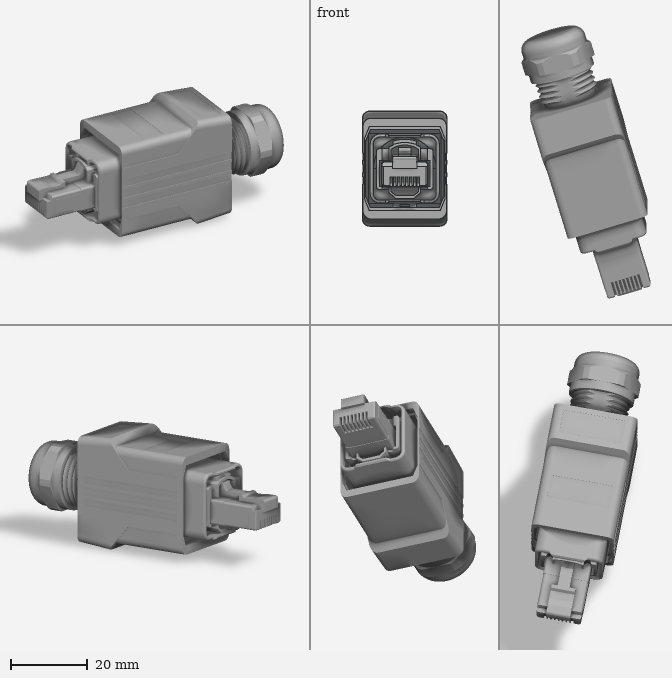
import cadquery as cq
import math


HOUSING_WIDTH = 22.0
HOUSING_LENGTH = 33.0
PLATE_STEP = 0.15
PLATE_SETBACK = 0.25
BODY_WIDTH = HOUSING_WIDTH - 2 * PLATE_STEP
BODY_HALF_HEIGHT = 13.1
CORNER_RADIUS = 2.0
PLATE_HALF_HEIGHT = 7.5
RAMP_START = 17.0
PEAK_Y = 23.4
PEAK_HALF_HEIGHT = 15.005
REAR_HALF_HEIGHT = 14.25
GROOVES = ((0.0, 2.3), (3.07, 2.0), (-3.07, 2.0))

LABEL_WIDTH = 16.5
LABEL_DEPTH = 0.1
FRONT_LABEL = (7.8, 13.9)
REAR_LABEL = (25.1, 31.5)

MOUTH_HALF_WIDTH = 10.5
MOUTH_HALF_HEIGHT = 10.95
MOUTH_CORNER_RUN = 1.3
MOUTH_CORNER_RISE = 3.1
MOUTH_STEP = 0.8
MOUTH_SIDE_STEP = 0.25
MOUTH_LEAD_DEPTH = 2.0
MOUTH_DEPTH = 8.0
WELL_HALF_WIDTH = 9.4
WELL_HALF_HEIGHT = 9.1
WELL_DEPTH = 12.0
BRIDGE_HALF_WIDTH = 3.1
BRIDGE_START = 2.5
KEYWAY_HALF_WIDTH = 1.2
KEYWAY_Z = (-9.8, -9.3)
KEYWAY_DEPTH = 2.0

SHELL_SIZE = 18.0
SHELL_RADIUS = 2.6
SHELL_WALL = 0.8
SHELL_FRONT = -5.7
SHELL_FLOOR = -1.0
SHELL_EDGE = 0.6
TONGUE_FRONT = -6.5
TONGUE_HALF_WIDTH = 4.1
TONGUE_ROOT_HALF_WIDTH = 5.0
TONGUE_EDGE = 0.4
CABLE_BORE_RADIUS = 8.2
CABLE_BORE_DEPTH = 0.2

SLEEVE_FRONT = SHELL_FRONT
SLEEVE_HALF_WIDTH = 7.4
SLEEVE_TOP = 5.2
SLEEVE_BOTTOM = -5.4
SLEEVE_RADIUS = 0.7
SLEEVE_GROOVE_X = 5.0
SLEEVE_GROOVE_RADIUS = 0.95
SLEEVE_POCKET_HALF_WIDTH = 6.6
SLEEVE_POCKET_TOP = 2.1
SLEEVE_POCKET_BOTTOM = -4.7
SLEEVE_POCKET_DEPTH = 3.0
HUMP_HALF_WIDTH = 3.0
HUMP_FRONT_TOP = 6.8
HUMP_REAR_TOP = 7.65
HUMP_ARC_RISE = 0.5
HUMP_NECK_Z = 6.2
HUMP_SHOULDER = (4.1, 5.6)
HUMP_WEDGE = (4.1, -6.3)
HUMP_FOOT = (2.3, -7.8)
WINDOW_SPRING = (3.6, 5.0)
WINDOW_CROWN_Z = 6.15
WINDOW_WEDGE = (3.6, -6.0)
WINDOW_FOOT = (2.3, -7.0)

PLUG_HALF_WIDTH = 6.0
PLUG_TOP = 1.85
PLUG_BOTTOM = -4.8
PLUG_FRONT = -19.65
PLUG_EDGE = 0.6
PLUG_NOSE_CHAMFER = 0.35
NOSE_STEP_Y = -18.0
NOSE_STEP_RUN = 0.5
NOSE_STEP_TOP = 0.5
SHOULDER_Y = -9.5
SHOULDER_STEP = 0.12
SIDE_PANEL_Y = (-17.2, SHOULDER_Y)
SIDE_PANEL_Z = (-3.5, 0.55)
CONTACT_COUNT = 8
CONTACT_PITCH = 1.02
CONTACT_WIDTH = 0.65
CONTACT_TOP = -2.2
CONTACT_DEPTH = 4.0

LATCH_FRONT = -20.56
LATCH_ROOT_TOP = 5.5
LATCH_ROOT_BENDS = ((-6.3, LATCH_ROOT_TOP), (-6.7, 4.5), (-6.95, 4.0))
LATCH_ARM_START = -7.4
LATCH_ARM_TOP = 3.5
LATCH_ARM_HALF_WIDTH = 1.6
LATCH_GAP_FLOOR = 1.0
LATCH_PAD_HALF_WIDTH = 3.15
LATCH_PAD_BACK = -12.5
LATCH_DIP_START = -13.4
LATCH_DIP_END = -14.0
LATCH_DIP_TOP = 2.88
LATCH_RISE_START = -16.0
LATCH_RISE_END = -17.8
LATCH_LIP_TOP = 3.15
LATCH_LIP_BOTTOM = 0.05
LATCH_NOSE_RADIUS = 0.7

OVERALL_LENGTH = 71.69
GLAND_END = LATCH_FRONT + OVERALL_LENGTH
GLAND_RADIUS = 8.6
DOME_RADIUS = 2.6
COLLAR_START = 40.3
HEX_START = 42.6
HEX_END = 46.8
HEX_FLATS = 17.2
HEX_ROUND_RADIUS = 9.45
THREAD_ROOT_RADIUS = 7.0
THREAD_CREST_RADIUS = 7.75
THREAD_PITCH = 1.5
THREAD_BASE = 1.38
THREAD_OVERLAP = 0.15
THREAD_FLAT_HALF_HEIGHT = 6.85


def block(x_range, y_range, z_range):
    """Box between the given limits."""
    size = [high - low for low, high in (x_range, y_range, z_range)]
    corner = (x_range[0], y_range[0], z_range[0])
    return cq.Workplane("XY").box(*size, centered=False).translate(corner)


def centred(half):
    return (-half, half)


def along_y(points, y_front, y_back):
    """Closed XZ outline extruded from y_front back to y_back."""
    plane = cq.Workplane("XZ", origin=(0, y_front, 0))
    return plane.polyline(points).close().extrude(y_front - y_back)


def across_x(points, half_width):
    """Closed YZ outline extruded symmetrically about X = 0."""
    return cq.Workplane("YZ").polyline(points).close().extrude(half_width, both=True)


def disc(radius, y_front, y_back):
    """Cylinder about the Y axis."""
    return cq.Workplane("XZ", origin=(0, y_front, 0)).circle(radius).extrude(y_front - y_back)


def mirrored_x(points):
    """Closed outline made from its right half, listed from top to bottom."""
    return points + [(-x, z) for x, z in reversed(points)]


def octagon(half_width, half_height):
    """Octagonal outline of the housing mouth."""
    shoulder_x = half_width - MOUTH_CORNER_RUN
    shoulder_z = half_height - MOUTH_CORNER_RISE
    return mirrored_x([
        (shoulder_x, half_height),
        (half_width, shoulder_z),
        (half_width, -shoulder_z),
        (shoulder_x, -half_height),
    ])


def make_side_plates():
    """Full-width block whose sides flare out towards the gland."""
    upper = [
        (PLATE_SETBACK, PLATE_HALF_HEIGHT),
        (RAMP_START, PLATE_HALF_HEIGHT),
        (PEAK_Y, PEAK_HALF_HEIGHT),
        (HOUSING_LENGTH, REAR_HALF_HEIGHT),
    ]
    outline = upper + [(y, -z) for y, z in reversed(upper)]
    plates = across_x(outline, HOUSING_WIDTH / 2)
    y_middle = (PEAK_Y + HOUSING_LENGTH) / 2
    for side in (-1, 1):
        for level in (-1, 1):
            corner = (side * HOUSING_WIDTH / 2, y_middle, level * PEAK_HALF_HEIGHT)
            plates = plates.edges(cq.selectors.NearestToPointSelector(corner)).fillet(CORNER_RADIUS)
    for centre, width in GROOVES:
        groove_z = (centre - width / 2, centre + width / 2)
        for side in (-1, 1):
            side_x = sorted((side * BODY_WIDTH / 2, side * HOUSING_WIDTH / 2))
            plates = plates.cut(block(side_x, (0, HOUSING_LENGTH), groove_z))
    return plates


def make_rear_label():
    """Shallow recess parallel to the sloping rear top face."""
    slope = (PEAK_HALF_HEIGHT - REAR_HALF_HEIGHT) / (HOUSING_LENGTH - PEAK_Y)
    back, front = REAR_LABEL[1], REAR_LABEL[0]
    front_z = PEAK_HALF_HEIGHT - slope * (front - PEAK_Y)
    back_z = PEAK_HALF_HEIGHT - slope * (back - PEAK_Y)
    outline = [
        (front, front_z - LABEL_DEPTH),
        (back, back_z - LABEL_DEPTH),
        (back, PEAK_HALF_HEIGHT),
        (front, PEAK_HALF_HEIGHT),
    ]
    return across_x(outline, LABEL_WIDTH / 2)


def make_housing():
    body = block(centred(BODY_WIDTH / 2), (0, HOUSING_LENGTH), centred(BODY_HALF_HEIGHT))
    body = body.edges("|Y").fillet(CORNER_RADIUS)
    housing = body.union(make_side_plates())
    label_z = (BODY_HALF_HEIGHT - LABEL_DEPTH, BODY_HALF_HEIGHT)
    housing = housing.cut(block(centred(LABEL_WIDTH / 2), FRONT_LABEL, label_z))
    housing = housing.cut(make_rear_label())
    lead = octagon(MOUTH_HALF_WIDTH, MOUTH_HALF_HEIGHT)
    cavity = octagon(MOUTH_HALF_WIDTH - MOUTH_SIDE_STEP, MOUTH_HALF_HEIGHT - MOUTH_STEP)
    housing = housing.cut(along_y(lead, 0, MOUTH_LEAD_DEPTH))
    housing = housing.cut(along_y(cavity, 0, MOUTH_DEPTH))
    return housing.cut(block(centred(WELL_HALF_WIDTH), (0, WELL_DEPTH), centred(WELL_HALF_HEIGHT)))


def make_tongue():
    """Trapezoidal tongue that prolongs the top wall of the shell."""
    half = SHELL_SIZE / 2
    outline = [
        (-TONGUE_ROOT_HALF_WIDTH, SHELL_FRONT + SHELL_EDGE),
        (-TONGUE_ROOT_HALF_WIDTH, SHELL_FRONT),
        (-TONGUE_HALF_WIDTH, TONGUE_FRONT),
        (TONGUE_HALF_WIDTH, TONGUE_FRONT),
        (TONGUE_ROOT_HALF_WIDTH, SHELL_FRONT),
        (TONGUE_ROOT_HALF_WIDTH, SHELL_FRONT + SHELL_EDGE),
    ]
    plate = cq.Workplane("XY", origin=(0, 0, half - SHELL_WALL)).polyline(outline).close()
    return plate.extrude(SHELL_WALL).faces("<Y").edges(">Z").chamfer(TONGUE_EDGE)


def make_shell():
    """Square cup with a tongue on its top and bottom walls."""
    half = SHELL_SIZE / 2
    inner = half - SHELL_WALL
    shell = block(centred(half), (SHELL_FRONT, WELL_DEPTH), centred(half))
    shell = shell.edges("|Y").fillet(SHELL_RADIUS)
    shell = shell.faces("<Y").edges().fillet(SHELL_EDGE)
    cup = block(centred(inner), (SHELL_FRONT, SHELL_FLOOR), centred(inner))
    shell = shell.cut(cup.edges("|Y").fillet(SHELL_RADIUS - SHELL_WALL))
    tongue = make_tongue()
    shell = shell.union(tongue).union(tongue.mirror("XY"))
    bore = disc(CABLE_BORE_RADIUS, SHELL_FLOOR, SHELL_FLOOR + CABLE_BORE_DEPTH)
    upper_half = block(centred(half), (SHELL_FRONT, 0), (0, half))
    return shell.cut(bore.intersect(upper_half))


def make_bridge():
    """Rib under the shell with a keyway in its front."""
    bridge_z = (-MOUTH_HALF_HEIGHT, SHELL_WALL - SHELL_SIZE / 2)
    bridge = block(centred(BRIDGE_HALF_WIDTH), (BRIDGE_START, WELL_DEPTH), bridge_z)
    keyway = block(centred(KEYWAY_HALF_WIDTH), (BRIDGE_START, BRIDGE_START + KEYWAY_DEPTH), KEYWAY_Z)
    return bridge.cut(keyway)


def make_hump(y_front, top):
    """Arched middle part of the sleeve, ending in a wedge below."""
    spring = top - HUMP_ARC_RISE
    neck = (HUMP_HALF_WIDTH, HUMP_NECK_Z)
    lower = mirrored_x([neck, HUMP_SHOULDER, HUMP_WEDGE, HUMP_FOOT])
    outline = (
        cq.Workplane("XZ", origin=(0, y_front, 0))
        .moveTo(-HUMP_HALF_WIDTH, spring)
        .threePointArc((0, top), (HUMP_HALF_WIDTH, spring))
        .polyline(lower, includeCurrent=True)
    )
    return outline.close().extrude(y_front)


def make_window():
    """Opening of the sleeve around the latch and below the plug."""
    outline = (
        cq.Workplane("XZ", origin=(0, TONGUE_FRONT, 0))
        .moveTo(-WINDOW_SPRING[0], WINDOW_SPRING[1])
        .threePointArc((0, WINDOW_CROWN_Z), WINDOW_SPRING)
        .polyline(mirrored_x([WINDOW_WEDGE, WINDOW_FOOT]), includeCurrent=True)
    )
    return outline.close().extrude(-SLEEVE_POCKET_DEPTH)


def make_sleeve():
    """Insert around the plug, with a stepped hump above and below."""
    sleeve = block(centred(SLEEVE_HALF_WIDTH), (SLEEVE_FRONT, 0), (SLEEVE_BOTTOM, SLEEVE_TOP))
    sleeve = sleeve.edges("|Y").fillet(SLEEVE_RADIUS)
    groove_height = SLEEVE_TOP - SLEEVE_BOTTOM
    for side in (-1, 1):
        groove = cq.Workplane("XY", origin=(side * SLEEVE_GROOVE_X, SLEEVE_FRONT, SLEEVE_BOTTOM))
        sleeve = sleeve.cut(groove.circle(SLEEVE_GROOVE_RADIUS).extrude(groove_height))
    sleeve = sleeve.union(make_hump(TONGUE_FRONT, HUMP_FRONT_TOP))
    sleeve = sleeve.union(make_hump(SLEEVE_FRONT, HUMP_REAR_TOP))
    pocket = block(
        centred(SLEEVE_POCKET_HALF_WIDTH),
        (TONGUE_FRONT, TONGUE_FRONT + SLEEVE_POCKET_DEPTH),
        (SLEEVE_POCKET_BOTTOM, SLEEVE_POCKET_TOP),
    )
    return sleeve.cut(pocket).cut(make_window())


def make_plug_bar(inset, y_front, y_back):
    """Round-edged bar with the plug section, inset on all four sides."""
    x_range = centred(PLUG_HALF_WIDTH - inset)
    bar = block(x_range, (y_front, y_back), (PLUG_BOTTOM + inset, PLUG_TOP - inset))
    return bar.edges("|Y").fillet(PLUG_EDGE)


def make_plug():
    nose = make_plug_bar(SHOULDER_STEP, PLUG_FRONT, SHOULDER_Y)
    nose = nose.faces("<Y").chamfer(PLUG_NOSE_CHAMFER)
    notch = across_x([
        (PLUG_FRONT, PLUG_TOP),
        (NOSE_STEP_Y, PLUG_TOP),
        (NOSE_STEP_Y - NOSE_STEP_RUN, NOSE_STEP_TOP),
        (PLUG_FRONT, NOSE_STEP_TOP),
    ], PLUG_HALF_WIDTH)
    plug = nose.cut(notch).union(make_plug_bar(0, SHOULDER_Y, 0))
    plug = plug.union(block(centred(PLUG_HALF_WIDTH), SIDE_PANEL_Y, SIDE_PANEL_Z))
    slot_y = (PLUG_FRONT, PLUG_FRONT + CONTACT_DEPTH)
    for index in range(CONTACT_COUNT):
        centre = (index - (CONTACT_COUNT - 1) / 2) * CONTACT_PITCH
        slot_x = (centre - CONTACT_WIDTH / 2, centre + CONTACT_WIDTH / 2)
        plug = plug.cut(block(slot_x, slot_y, (PLUG_BOTTOM, CONTACT_TOP)))
    return plug


def make_latch():
    """Narrow spring arm, rising in facets at its root, with a wide finger pad."""
    arm = across_x([
        (0, LATCH_ROOT_TOP),
        *LATCH_ROOT_BENDS,
        (LATCH_ARM_START, LATCH_ARM_TOP),
        (LATCH_DIP_START, LATCH_ARM_TOP),
        (LATCH_DIP_START, LATCH_GAP_FLOOR),
        (0, LATCH_GAP_FLOOR),
    ], LATCH_ARM_HALF_WIDTH)
    pad = across_x([
        (LATCH_PAD_BACK, LATCH_ARM_TOP),
        (LATCH_DIP_START, LATCH_ARM_TOP),
        (LATCH_DIP_END, LATCH_DIP_TOP),
        (LATCH_RISE_START, LATCH_DIP_TOP),
        (LATCH_RISE_END, LATCH_LIP_TOP),
        (LATCH_FRONT, LATCH_LIP_TOP),
        (LATCH_FRONT, LATCH_LIP_BOTTOM),
        (NOSE_STEP_Y, LATCH_LIP_BOTTOM),
        (LATCH_PAD_BACK, LATCH_GAP_FLOOR),
    ], LATCH_PAD_HALF_WIDTH)
    pad = pad.faces("<Y").edges(">Z").fillet(LATCH_NOSE_RADIUS)
    return arm.union(pad)


def make_thread():
    """Threaded neck with a flat along its top and bottom."""
    root = disc(THREAD_ROOT_RADIUS, HOUSING_LENGTH, COLLAR_START)
    height = COLLAR_START - HOUSING_LENGTH
    helix = cq.Wire.makeHelix(THREAD_PITCH, height, THREAD_ROOT_RADIUS)
    half_base = THREAD_BASE / 2
    inner = THREAD_ROOT_RADIUS - THREAD_OVERLAP
    tooth = cq.Workplane("XZ").polyline(
        [(inner, -half_base), (THREAD_CREST_RADIUS, 0), (inner, half_base)]
    ).close()
    ridge = tooth.sweep(cq.Workplane(helix), isFrenet=True)
    ridge = ridge.rotate((0, 0, 0), (0, 0, 1), 180)
    ridge = ridge.rotate((0, 0, 0), (1, 0, 0), -90)
    ridge = ridge.translate((0, HOUSING_LENGTH + THREAD_PITCH / 2, 0))
    limits = block(
        centred(2 * THREAD_CREST_RADIUS),
        (HOUSING_LENGTH, COLLAR_START),
        centred(THREAD_FLAT_HALF_HEIGHT),
    )
    return root.intersect(limits).union(ridge.intersect(limits))


def make_gland():
    """Collar, hexagon with rounded corners and domed cap."""
    barrel = disc(GLAND_RADIUS, COLLAR_START, GLAND_END)
    barrel = barrel.faces(">Y").edges().fillet(DOME_RADIUS)
    corner_diameter = HEX_FLATS / math.cos(math.pi / 6)
    plane = cq.Workplane("XZ", origin=(0, HEX_START, 0))
    nut = plane.polygon(6, corner_diameter).extrude(HEX_START - HEX_END)
    round_bar = disc(HEX_ROUND_RADIUS, HEX_START, HEX_END)
    round_bar = round_bar.faces(">Y").chamfer(HEX_ROUND_RADIUS - GLAND_RADIUS)
    return barrel.union(nut.intersect(round_bar))


result = make_housing()
pieces = (
    make_shell(), make_bridge(), make_sleeve(), make_plug(),
    make_latch(), make_thread(), make_gland(),
)
for piece in pieces:
    result = result.union(piece)